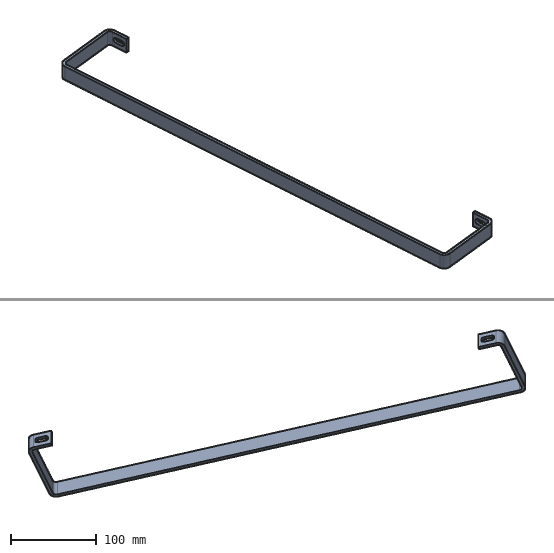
import cadquery as cq

length = 586.0
depth = 91.0
height = 20.0

thickness = 4.0
outer_bend_radius = 8.0
inner_bend_radius = outer_bend_radius - thickness

tab_length = 30.0
slot_length = 16.0
slot_width = 7.0
slot_from_tab_end = 12.0


def bent_bar():
    """Flat bar bent at four corners, open between the two tabs."""
    outer = (
        cq.Workplane("XY")
        .rect(length, depth)
        .extrude(height)
        .edges("|Z")
        .fillet(outer_bend_radius)
    )
    inner = (
        cq.Workplane("XY")
        .rect(length - 2 * thickness, depth - 2 * thickness)
        .extrude(height)
        .edges("|Z")
        .fillet(inner_bend_radius)
    )
    tab_gap = (
        cq.Workplane("XY")
        .center(0, depth / 2)
        .rect(length - 2 * tab_length, depth)
        .extrude(height)
    )
    return outer.cut(inner).cut(tab_gap)


def tab_slots():
    """One horizontal slot cutter through each tab, at mid height."""
    slot_x = length / 2 - tab_length + slot_from_tab_end
    return (
        cq.Workplane("XZ", origin=(0, depth / 2, height / 2))
        .pushPoints([(-slot_x, 0), (slot_x, 0)])
        .slot2D(slot_length, slot_width)
        .extrude(thickness)
    )


result = bent_bar().cut(tab_slots())